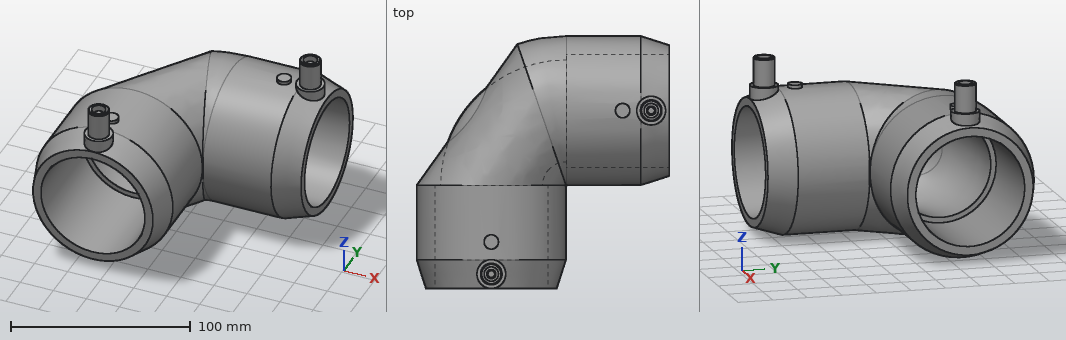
import cadquery as cq
import math

overall_length = 140.5
body_diameter = 83.0
body_radius = body_diameter / 2
arm_length = overall_length - body_diameter
end_diameter = 72.8
taper_length = 16.0

quarter_turn = 90.0
curved_angle = 19.0
straight_angle = quarter_turn - curved_angle

socket_diameter = 63.0
bend_bore_diameter = 56.8
bulge_diameter = 57.2

relief_radius = 0.1
web_width = 0.5
web_height = 14.0

top_height = 59.93
collar_diameter = 16.0
collar_top = 43.8
collar_bottom = 33.7
stem_diameter = 12.0
stem_chamfer = 0.5
stem_bore_diameter = 8.0
contact_diameter = 5.0
contact_chamfer = 0.63
contact_recess = 2.1
x_terminal_inset = 10.1
y_terminal_inset = 8.2

indicator_diameter = 8.0
indicator_top = 43.4
indicator_bottom = 36.5
indicator_inset = 26.0


def upright_cylinder(diameter, bottom, top):
    return cq.Workplane("XY").workplane(offset=bottom).circle(diameter / 2).extrude(top - bottom)


def corner_relief():
    """Thin upright cylinder that clears the pointed tip of the bend for the corner web."""
    return upright_cylinder(2 * relief_radius, -body_radius, body_radius)


def corner_web():
    return cq.Workplane("XY").box(web_width, web_width, web_height)


def curved_bend():
    """Bend about the Z axis, starting at the X arm and turning towards the Y arm."""
    relief_half_height = math.sqrt(body_radius**2 - (body_radius - relief_radius) ** 2)
    section = (
        cq.Workplane("YZ")
        .moveTo(relief_radius, relief_half_height)
        .threePointArc((body_diameter, 0), (relief_radius, -relief_half_height))
        .close()
    )
    return section.revolve(curved_angle, (0, 0, 0), (0, 1, 0))


def bore_bend(diameter):
    """Quarter turn of round section along the middle of the bend."""
    section = cq.Workplane("YZ").center(body_radius, 0).circle(diameter / 2)
    return section.revolve(quarter_turn, (-body_radius, 0, 0), (-body_radius, 1, 0))


def straight_bend():
    """Elliptic cylinder between the Y arm and the curved part, cut by planes through the bend centre.

    It is built along Y with its middle on the X axis, then turned into place.
    """
    half_angle = math.radians(straight_angle / 2)
    half_width = body_radius * math.cos(half_angle)
    outer_reach = 2 * half_width
    half_length = outer_reach * math.tan(half_angle)
    cylinder = (
        cq.Workplane("XZ")
        .center(-half_width, 0)
        .ellipse(half_width, body_radius)
        .extrude(2 * half_length)
        .translate((0, half_length, 0))
    )
    wedge = (
        cq.Workplane("XY")
        .polyline([(0, 0), (-outer_reach, half_length), (-outer_reach, -half_length)])
        .close()
        .extrude(body_radius, both=True)
    )
    return cylinder.intersect(wedge).cut(corner_relief()).rotate((0, 0, 0), (0, 0, 1), -straight_angle / 2)


def tapered_arm():
    """Straight arm along +X with a tapered free end."""
    profile = (
        cq.Workplane("XY")
        .lineTo(arm_length, 0)
        .lineTo(arm_length, end_diameter / 2)
        .lineTo(arm_length - taper_length, body_radius)
        .lineTo(0, body_radius)
        .close()
    )
    return profile.revolve(360, (0, 0, 0), (1, 0, 0))


def socket():
    return cq.Workplane("YZ").circle(socket_diameter / 2).extrude(arm_length)


def terminal():
    """Collar and hollow stem with a contact pin standing inside."""
    collar = upright_cylinder(collar_diameter, collar_bottom, collar_top)
    stem = upright_cylinder(stem_diameter, collar_top, top_height).faces(">Z").chamfer(stem_chamfer)
    stem_bore = upright_cylinder(stem_bore_diameter, collar_top, top_height)
    contact = upright_cylinder(contact_diameter, collar_top, top_height - contact_recess)
    contact = contact.faces(">Z").chamfer(contact_chamfer)
    return collar.union(stem.cut(stem_bore)).union(contact)


def indicator():
    return upright_cylinder(indicator_diameter, indicator_bottom, indicator_top)


def place_on_x_arm(shape):
    return shape.translate((0, body_radius, 0))


def place_on_y_arm(shape):
    return shape.rotate((0, 0, 0), (0, 0, 1), -90).translate((-body_radius, 0, 0))


arms = (
    (place_on_x_arm, x_terminal_inset),
    (place_on_y_arm, y_terminal_inset),
)

result = straight_bend().union(curved_bend()).union(corner_web())
for place, _ in arms:
    result = result.union(place(tapered_arm()))

result = result.union(bore_bend(bulge_diameter))
result = result.cut(bore_bend(bend_bore_diameter))

for place, terminal_inset in arms:
    result = result.cut(place(socket()))
    result = result.union(place(terminal().translate((arm_length - terminal_inset, 0, 0))))
    result = result.union(place(indicator().translate((arm_length - indicator_inset, 0, 0))))